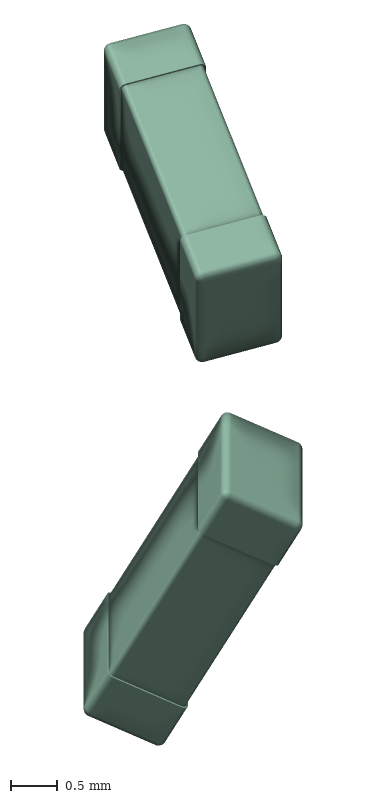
import cadquery as cq

length = 3.3
width = 0.98
height = 1.6

cap_length = 0.6
cap_edge_radius = 0.082

step = 0.025
body_length = length - 2 * cap_length
body_edge_radius = cap_edge_radius - step


def make_body():
    """Block between the caps, with its four long edges rounded."""
    return (
        cq.Workplane("XY")
        .box(body_length, width - 2 * step, height - 2 * step)
        .edges("|X")
        .fillet(body_edge_radius)
    )


def make_end_cap(side):
    """Cap at one end (side is -1 or +1), rounded everywhere but at its inner face."""
    inner_face = "<X" if side > 0 else ">X"
    center_x = side * (length - cap_length) / 2
    return (
        cq.Workplane("XY")
        .box(cap_length, width, height)
        .edges(f"not {inner_face}")
        .fillet(cap_edge_radius)
        .translate((center_x, 0, 0))
    )


body = make_body()
end_caps = [make_end_cap(side) for side in (-1, 1)]

result = cq.Compound.makeCompound([body.val(), *[cap.val() for cap in end_caps]])